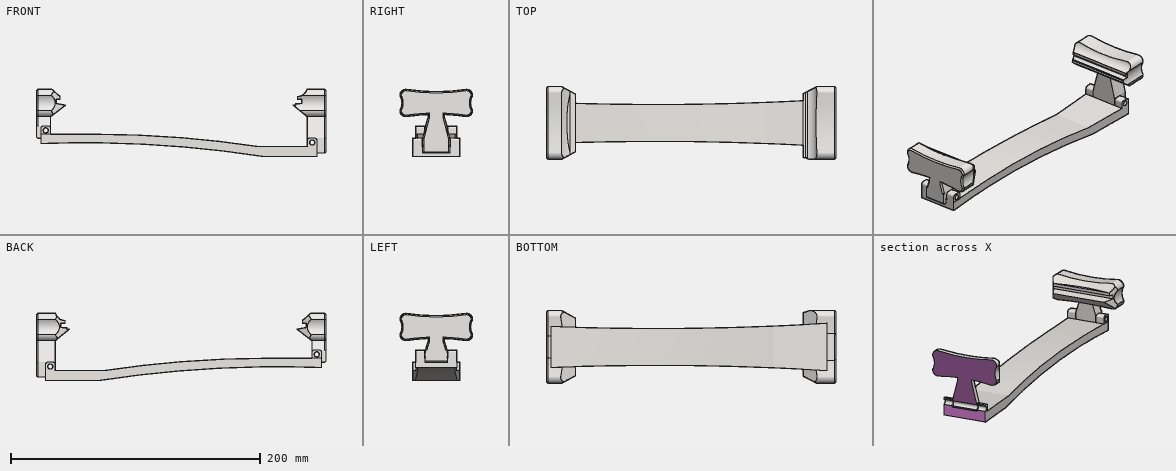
import cadquery as cq
import math


LENGTH = 232.5
HEAD_WIDTH = 58.5
TOP_Z = 54.2

HEAD_HEIGHT = 22.0
HEAD_BOTTOM_Z = TOP_Z - HEAD_HEIGHT
HEAD_MID_Z = TOP_Z - HEAD_HEIGHT / 2
CORNER = 5.0
SIDE_SAG = 1.6
TOP_SAG = 1.9
BACK_CHAMFER = 1.2
STEM_TOP_HALF = 6.5
RIDGE_TOP_Z = 48.4
RIDGE_BOTTOM_Z = 46.0
JAW_ROOT_Z = 42.8
JAW_TIP_Z = 41.4
END_TAPER_LEFT = 28.5
END_TAPER_RIGHT = 27.5

LEFT_STEM_DEPTH = 11.5
LEFT_SHOULDER = 12.0
LEFT_GROOVE = 16.0
LEFT_BEVEL_MIDDLE = (16.3, 50.2)
LEFT_RIDGE = 19.0
LEFT_JAW_TIP = 23.5

RIGHT_STEM_DEPTH = 15.0
RIGHT_SHOULDER = 15.3
RIGHT_GROOVE = 19.5
RIGHT_RIDGE = 23.0
RIGHT_JAW_STEP = 24.5
RIGHT_JAW_STEP_Z = 42.5
RIGHT_JAW_TIP = 26.5

ARM_START = 3.5
ARM_END = 225.3
LEFT_ARM_TOP_Z = 18.1
RIGHT_ARM_TOP_Z = 8.4
LEFT_ARM_BOTTOM_Z = 10.5
BOW_START = 46.5
BOW_END = 177.0
UNDERSIDE_END = 182.5
UNDERSIDE_MID = (93.0, 9.5)
START_HALF_WIDTH = 16.5
WAIST = (83.7, 14.9)
END_HALF_WIDTH = 19.0

HOLE_DIAMETER = 4.0
LUG_LENGTH = 8.0
LUG_HEIGHT = 6.5
LUG_ROUND = 2.0
HOLE_RISE = 3.0
SIDE_GAP = 0.5
LEFT_BLOCK_HALF = 8.8
RIGHT_BLOCK_HALF = 11.0
LEFT_LIP_DROP = 3.5
RIGHT_LIP_DROP = 5.5


def box(x0, x1, half_width, z0, z1):
    """A block centred on Y = 0."""
    return (
        cq.Workplane("XY", origin=(0, 0, z0))
        .moveTo(x0, -half_width)
        .lineTo(x1, -half_width)
        .lineTo(x1, half_width)
        .lineTo(x0, half_width)
        .close()
        .extrude(z1 - z0)
    )


def hinge_hole(x, z):
    return (
        cq.Workplane("XZ")
        .center(x, z)
        .circle(HOLE_DIAMETER / 2)
        .extrude(HEAD_WIDTH / 2, both=True)
    )


def bowed_bar():
    """Side outline of the arm, extruded across the full width."""
    bow_run = BOW_END - BOW_START
    bow_drop = LEFT_ARM_TOP_Z - RIGHT_ARM_TOP_Z
    bow_radius = (bow_run**2 + bow_drop**2) / (2 * bow_drop)
    half_turn = math.atan2(bow_drop, bow_run)
    bow_middle = (
        BOW_START + bow_radius * math.sin(half_turn),
        LEFT_ARM_TOP_Z - bow_radius * (1 - math.cos(half_turn)),
    )
    return (
        cq.Workplane("XZ")
        .moveTo(ARM_START, LEFT_ARM_BOTTOM_Z)
        .lineTo(ARM_START, LEFT_ARM_TOP_Z)
        .lineTo(BOW_START, LEFT_ARM_TOP_Z)
        .threePointArc(bow_middle, (BOW_END, RIGHT_ARM_TOP_Z))
        .lineTo(ARM_END, RIGHT_ARM_TOP_Z)
        .lineTo(ARM_END, 0)
        .lineTo(UNDERSIDE_END, 0)
        .threePointArc(UNDERSIDE_MID, (ARM_START, LEFT_ARM_BOTTOM_Z))
        .close()
        .extrude(HEAD_WIDTH / 2, both=True)
    )


def waisted_plan():
    """The arm seen from above: narrow near the left, flaring to the right."""
    waist_x, waist_half_width = WAIST
    return (
        cq.Workplane("XY")
        .moveTo(ARM_START, -START_HALF_WIDTH)
        .threePointArc((waist_x, -waist_half_width), (ARM_END, -END_HALF_WIDTH))
        .lineTo(ARM_END, END_HALF_WIDTH)
        .threePointArc((waist_x, waist_half_width), (ARM_START, START_HALF_WIDTH))
        .close()
        .extrude(TOP_Z)
    )


def lugs(x0, arm_top_z, half_width, block_half_width):
    """A rounded rail across the arm, with a gap in the middle for the hinge block."""
    x1 = x0 + LUG_LENGTH
    lug_top_z = arm_top_z + LUG_HEIGHT
    rail = box(x0, x1, half_width, 0, lug_top_z).edges("|Y and >Z").fillet(LUG_ROUND)
    below_arm_top = box(x0, x1, half_width, 0, arm_top_z)
    gap = box(x0, x1, block_half_width + SIDE_GAP, arm_top_z, lug_top_z)
    return rail.cut(below_arm_top).cut(gap)


def make_arm():
    right_lugs_start = ARM_END - LUG_LENGTH
    left_lugs = lugs(ARM_START, LEFT_ARM_TOP_Z, START_HALF_WIDTH, LEFT_BLOCK_HALF)
    right_lugs = lugs(right_lugs_start, RIGHT_ARM_TOP_Z, END_HALF_WIDTH, RIGHT_BLOCK_HALF)
    bar = bowed_bar().union(right_lugs).intersect(waisted_plan()).union(left_lugs)
    bar = bar.cut(hinge_hole(ARM_START + LUG_LENGTH / 2, LEFT_ARM_TOP_Z + HOLE_RISE))
    return bar.cut(hinge_hole(right_lugs_start + LUG_LENGTH / 2, RIGHT_ARM_TOP_Z + HOLE_RISE))


def head_outline(x, inset):
    """Rounded rectangle with hollow sides at the given X, shrunk evenly by the inset."""
    half_width = HEAD_WIDTH / 2 - inset
    half_height = HEAD_HEIGHT / 2 - inset
    radius = CORNER - inset
    y_flat = half_width - radius
    z_flat = half_height - radius
    y_diag = half_width - radius * (1 - math.sqrt(0.5))
    z_diag = half_height - radius * (1 - math.sqrt(0.5))
    return (
        cq.Workplane("YZ", origin=(x, 0, HEAD_MID_Z))
        .moveTo(-y_flat, half_height)
        .threePointArc((0, half_height - TOP_SAG), (y_flat, half_height))
        .threePointArc((y_diag, z_diag), (half_width, z_flat))
        .threePointArc((half_width - SIDE_SAG, 0), (half_width, -z_flat))
        .threePointArc((y_diag, -z_diag), (y_flat, -half_height))
        .threePointArc((0, TOP_SAG - half_height), (-y_flat, -half_height))
        .threePointArc((-y_diag, -z_diag), (-half_width, -z_flat))
        .threePointArc((SIDE_SAG - half_width, 0), (-half_width, z_flat))
        .threePointArc((-y_diag, z_diag), (-y_flat, half_height))
        .close()
    )


def head_blank():
    """Bar with the head outline, bevelled around its back face and left over-long at the front."""
    bar = head_outline(BACK_CHAMFER, 0).extrude(HEAD_WIDTH)
    back_wire = head_outline(0, BACK_CHAMFER).val()
    full_wire = head_outline(BACK_CHAMFER, 0).val()
    bevel = cq.Solid.makeLoft([back_wire, full_wire], True)
    return bar.union(cq.Workplane(bevel))


def stem(block_half_width, block_top_z, depth):
    """Tapered neck from the hinge block up into the head."""
    return (
        cq.Workplane("YZ")
        .moveTo(-block_half_width, block_top_z)
        .lineTo(-STEM_TOP_HALF, HEAD_BOTTOM_Z)
        .lineTo(-STEM_TOP_HALF, HEAD_MID_Z)
        .lineTo(STEM_TOP_HALF, HEAD_MID_Z)
        .lineTo(STEM_TOP_HALF, HEAD_BOTTOM_Z)
        .lineTo(block_half_width, block_top_z)
        .close()
        .extrude(depth)
        .faces("<X")
        .edges("not |Y")
        .chamfer(BACK_CHAMFER)
    )


def hinge_block(half_width, depth, arm_end_depth, arm_top_z, lip_drop, lip_chamfer_edges):
    """Block that fills the gap between the lugs, with a lip hanging behind the arm."""
    lip = box(0, arm_end_depth, half_width, arm_top_z - lip_drop, arm_top_z + LUG_HEIGHT)
    lip = lip.edges(lip_chamfer_edges).chamfer(BACK_CHAMFER)
    between_lugs = box(arm_end_depth, depth, half_width, arm_top_z, arm_top_z + LUG_HEIGHT)
    bore = hinge_hole(arm_end_depth + LUG_LENGTH / 2, arm_top_z + HOLE_RISE)
    return lip.union(between_lugs).cut(bore)


def end_wedge(shoulder, angle):
    """Material beyond a vertical face that leans in from the +Y end of the shoulder."""
    reach = HEAD_WIDTH
    return (
        cq.Workplane("XY")
        .moveTo(shoulder, HEAD_WIDTH / 2)
        .lineTo(shoulder + reach, HEAD_WIDTH / 2 - reach * math.tan(math.radians(angle)))
        .lineTo(shoulder + reach, HEAD_WIDTH)
        .lineTo(shoulder, HEAD_WIDTH)
        .close()
        .extrude(TOP_Z)
    )


def top_bevel():
    """Hollow bevel, turned about the centre of the top's own curve so that it follows that edge."""
    half_chord = HEAD_WIDTH / 2 - CORNER
    top_radius = (half_chord**2 + TOP_SAG**2) / (2 * TOP_SAG)
    axis_z = TOP_Z - TOP_SAG + top_radius
    middle_depth, middle_z = LEFT_BEVEL_MIDDLE
    turned = (
        cq.Workplane("XZ")
        .moveTo(LEFT_SHOULDER, axis_z)
        .lineTo(LEFT_SHOULDER, TOP_Z - TOP_SAG)
        .threePointArc((middle_depth, middle_z - TOP_SAG), (LEFT_RIDGE, RIDGE_TOP_Z - TOP_SAG))
        .lineTo(LEFT_RIDGE, axis_z)
        .close()
        .revolve(360, (0, axis_z, 0), (1, axis_z, 0))
    )
    return turned.intersect(box(0, LEFT_JAW_TIP, HEAD_WIDTH / 2, RIDGE_TOP_Z, TOP_Z))


def left_jaw():
    """Side outline of the left head, as wide as the head."""
    jaw = (
        cq.Workplane("XZ")
        .moveTo(0, 0)
        .lineTo(LEFT_STEM_DEPTH, 0)
        .lineTo(LEFT_STEM_DEPTH, HEAD_BOTTOM_Z)
        .lineTo(LEFT_JAW_TIP, JAW_TIP_Z)
        .lineTo(LEFT_GROOVE, JAW_ROOT_Z)
        .lineTo(LEFT_GROOVE, RIDGE_BOTTOM_Z)
        .lineTo(LEFT_RIDGE, RIDGE_BOTTOM_Z)
        .lineTo(LEFT_RIDGE, TOP_Z)
        .lineTo(0, TOP_Z)
        .close()
        .extrude(HEAD_WIDTH / 2, both=True)
    )
    jaw = jaw.cut(top_bevel())
    wedge = end_wedge(LEFT_SHOULDER, END_TAPER_LEFT)
    return jaw.cut(wedge).cut(wedge.mirror("XZ"))


def right_jaw():
    """Side outline of the right head, with only its +Y end leaning in."""
    run = RIGHT_RIDGE - RIGHT_SHOULDER
    rise = TOP_Z - RIDGE_TOP_Z
    scallop_radius = (run**2 + rise**2) / (2 * rise)
    jaw = (
        cq.Workplane("XZ")
        .moveTo(0, 0)
        .lineTo(RIGHT_STEM_DEPTH, 0)
        .lineTo(RIGHT_STEM_DEPTH, HEAD_BOTTOM_Z)
        .lineTo(RIGHT_JAW_TIP, JAW_TIP_Z)
        .lineTo(RIGHT_JAW_STEP, JAW_TIP_Z)
        .lineTo(RIGHT_JAW_STEP, RIGHT_JAW_STEP_Z)
        .lineTo(RIGHT_GROOVE, JAW_ROOT_Z)
        .lineTo(RIGHT_GROOVE, RIDGE_BOTTOM_Z)
        .lineTo(RIGHT_RIDGE, RIDGE_BOTTOM_Z)
        .lineTo(RIGHT_RIDGE, RIDGE_TOP_Z)
        .radiusArc((RIGHT_SHOULDER, TOP_Z), scallop_radius)
        .lineTo(0, TOP_Z)
        .close()
        .extrude(HEAD_WIDTH / 2, both=True)
    )
    return jaw.cut(end_wedge(RIGHT_SHOULDER, END_TAPER_RIGHT))


def make_head(jaw, neck, block):
    """Chamfered bar and stem, cut to the jaw outline and set on its hinge block."""
    return head_blank().union(neck).intersect(jaw).union(block)


def make_left_head():
    block_top_z = LEFT_ARM_TOP_Z + LUG_HEIGHT
    neck = stem(LEFT_BLOCK_HALF, block_top_z, LEFT_STEM_DEPTH)
    block = hinge_block(
        LEFT_BLOCK_HALF, LEFT_STEM_DEPTH, ARM_START, LEFT_ARM_TOP_Z, LEFT_LIP_DROP, "<X and <Z"
    )
    return make_head(left_jaw(), neck, block)


def make_right_head():
    """Built facing +X like the left head, then mirrored to face -X at the far end."""
    block_top_z = RIGHT_ARM_TOP_Z + LUG_HEIGHT
    arm_end_depth = LENGTH - ARM_END
    neck = stem(RIGHT_BLOCK_HALF, block_top_z, RIGHT_STEM_DEPTH)
    block = hinge_block(
        RIGHT_BLOCK_HALF,
        RIGHT_STEM_DEPTH,
        arm_end_depth,
        RIGHT_ARM_TOP_Z,
        RIGHT_LIP_DROP,
        "<X and (not >Z)",
    )
    return make_head(right_jaw(), neck, block).mirror("YZ").translate((LENGTH, 0, 0))


arm = make_arm()
left_head = make_left_head()
right_head = make_right_head()

result = cq.Compound.makeCompound([arm.val(), left_head.val(), right_head.val()])